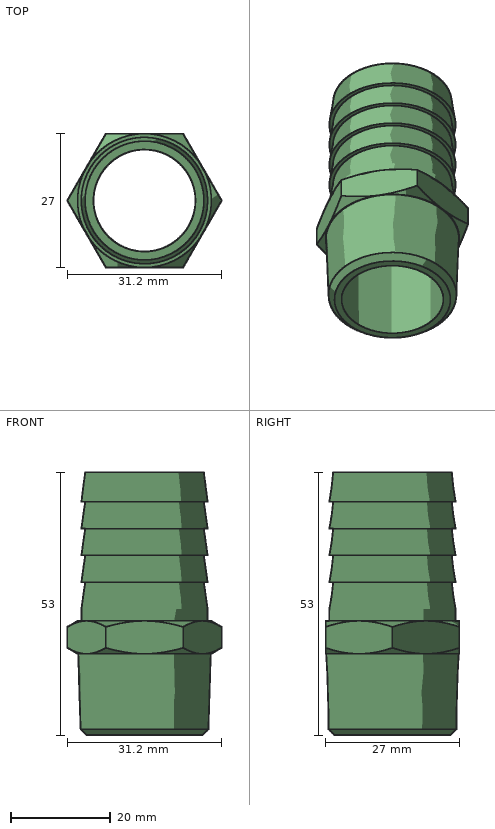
import cadquery as cq
import math

total_height = 53.0
bore_diameter = 20.5

pipe_top_diameter = 26.75
pipe_taper = 1 / 16
pipe_chamfer = 1.2
hex_bottom = 16.4

hex_across_flats = 27.0
hex_top = 23.0
hex_chamfer_angle = math.radians(30)
hex_face_diameter = hex_across_flats

barb_count = 5
barb_pitch = 5.4
barb_root_diameter = 23.95
barb_lip_diameter = 25.5
collar_top = 25.4


def make_pipe_end():
    """Cone widening up to the hexagon, with a 45 degree chamfer at its foot."""
    top_radius = pipe_top_diameter / 2
    foot_radius = top_radius - pipe_taper * (hex_bottom - pipe_chamfer) / 2
    profile = [
        (0, 0),
        (foot_radius - pipe_chamfer, 0),
        (foot_radius, pipe_chamfer),
        (top_radius, hex_bottom),
        (0, hex_bottom),
    ]
    return cq.Workplane("XZ").polyline(profile).close().revolve(360, (0, 0), (0, 1))


def make_hexagon():
    """Hexagonal prism whose corners are trimmed by a cone at each end."""
    corner_diameter = hex_across_flats / math.cos(math.pi / 6)
    prism = (
        cq.Workplane("XY", origin=(0, 0, hex_bottom))
        .polygon(6, corner_diameter)
        .extrude(hex_top - hex_bottom)
    )
    face_radius = hex_face_diameter / 2
    corner_radius = corner_diameter / 2
    corner_drop = (corner_radius - face_radius) * math.tan(hex_chamfer_angle)
    envelope_profile = [
        (0, hex_bottom),
        (face_radius, hex_bottom),
        (corner_radius, hex_bottom + corner_drop),
        (corner_radius, hex_top - corner_drop),
        (face_radius, hex_top),
        (0, hex_top),
    ]
    envelope = cq.Workplane("XZ").polyline(envelope_profile).close().revolve(360, (0, 0), (0, 1))
    return prism.intersect(envelope)


def make_hose_tail():
    """Straight collar followed by a stack of barbs narrowing upward."""
    root_radius = barb_root_diameter / 2
    lip_radius = barb_lip_diameter / 2
    profile = [(0, hex_top), (lip_radius, hex_top)]
    for barb in range(barb_count):
        lip_height = collar_top + barb * barb_pitch
        is_last = barb == barb_count - 1
        barb_top = total_height if is_last else lip_height + barb_pitch
        profile.append((lip_radius, lip_height))
        profile.append((root_radius, barb_top))
    profile.append((0, total_height))
    return cq.Workplane("XZ").polyline(profile).close().revolve(360, (0, 0), (0, 1))


bore = cq.Workplane("XY").circle(bore_diameter / 2).extrude(total_height)
result = make_pipe_end().union(make_hexagon()).union(make_hose_tail()).cut(bore)